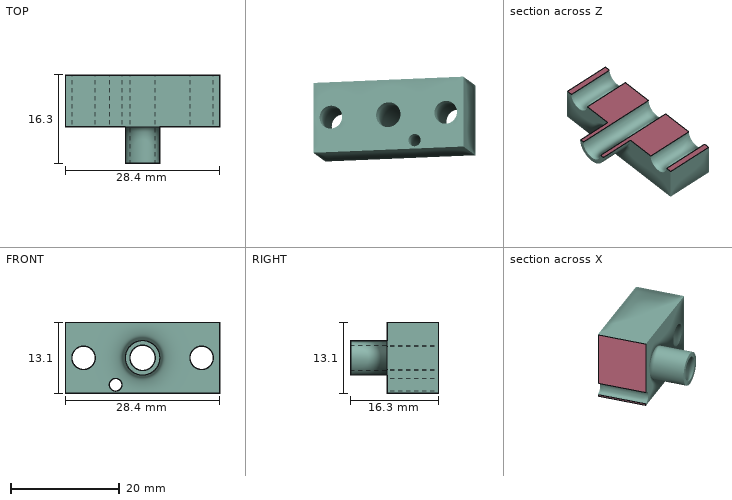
import cadquery as cq

block_length = 28.45
block_depth = 9.53
block_height = 13.08

overall_depth = 16.26
tube_length = overall_depth - block_depth
tube_diameter = 6.35
bore_diameter = 4.62

mount_hole_diameter = 4.27
mount_hole_spacing = 21.77

pin_hole_diameter = 2.29
pin_hole_offset = 4.97


def y_cylinder(diameter, x, z, y_start, y_end):
    """Cylinder along Y between two Y positions."""
    base = cq.Workplane("XZ", origin=(x, y_end, z))
    return base.circle(diameter / 2).extrude(y_end - y_start)


def through_hole(diameter, x, z):
    """Cutter along Y spanning the whole part."""
    return y_cylinder(diameter, x, z, -tube_length, block_depth)


def make_block():
    return cq.Workplane("XY").box(
        block_length, block_depth, block_height, centered=(True, False, True)
    )


def make_tube():
    return y_cylinder(tube_diameter, 0, 0, -tube_length, 0)


result = make_block().union(make_tube())
result = result.cut(through_hole(bore_diameter, 0, 0))

for side in (-1, 1):
    mount_hole_x = side * mount_hole_spacing / 2
    result = result.cut(through_hole(mount_hole_diameter, mount_hole_x, 0))

result = result.cut(through_hole(pin_hole_diameter, -pin_hole_offset, -pin_hole_offset))